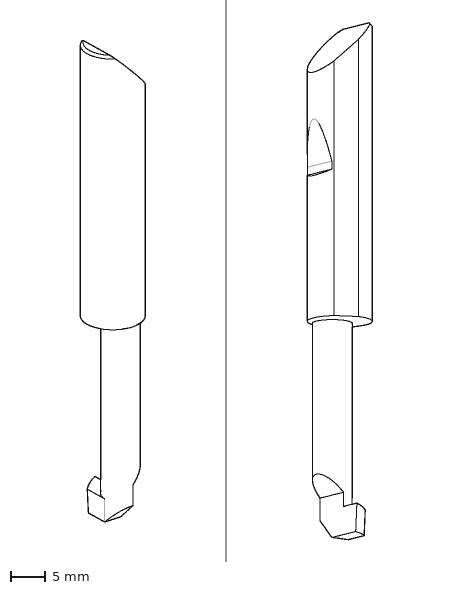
import cadquery as cq
import math

total_length = 76.2
shank_diameter = 9.525
shank_radius = shank_diameter / 2
neck_length = 31.9
shank_length = total_length - neck_length

rim_chamfer = 0.42
slant_start_y = -2.95

flat_normal_angle = 156.0
flat_arc_angle = 45.0
flat_offset = shank_radius * math.cos(math.radians(flat_arc_angle / 2))

notch_depth = 1.1
notch_low_z = 53.1
notch_root_low_z = 53.7
notch_root_high_z = 54.9
notch_high_z = 61.5

neck_radius = 2.92
neck_x = shank_radius - neck_radius
rake_face_y = 0.1
rake_runout_z = 6.3

tip_x_top = -4.38
tip_x_bottom = -4.08
relief_corner_inset = 2.0
relief_arc_radius = 8.0
head_height = 4.2
head_top_slope = 8.0

clearance = 5.0


def yz_prism(points):
    """Prism along X, wide enough to span the shank, from (y, z) points."""
    half_width = shank_radius + clearance
    return cq.Workplane("YZ").polyline(points).close().extrude(half_width, both=True)


def make_shank():
    shank = (
        cq.Workplane("XY")
        .workplane(offset=neck_length)
        .circle(shank_radius)
        .extrude(shank_length)
    )
    return shank.faces(">Z").chamfer(rim_chamfer)


def make_top_slant():
    run = shank_radius + clearance - slant_start_y
    back_y = slant_start_y + run
    return yz_prism([
        (slant_start_y, total_length),
        (back_y, total_length - run),
        (back_y, total_length),
    ])


def make_clamping_flat():
    return (
        cq.Workplane("XY")
        .box(clearance, 2 * shank_diameter, shank_length, centered=(False, True, False))
        .translate((flat_offset, 0, neck_length))
        .rotate((0, 0, 0), (0, 0, 1), flat_normal_angle)
    )


def make_notch():
    root_y = shank_radius - notch_depth
    return yz_prism([
        (shank_radius, notch_low_z),
        (root_y, notch_root_low_z),
        (root_y, notch_root_high_z),
        (shank_radius, notch_high_z),
    ])


def make_neck():
    """Round neck with its lower back half removed and its lower +X corner bevelled."""
    neck = cq.Workplane("XY").center(neck_x, 0).circle(neck_radius).extrude(neck_length)
    reach = neck_radius + clearance
    back_relief = yz_prism([
        (rake_face_y, 0),
        (rake_face_y, rake_runout_z),
        (rake_face_y + reach, rake_runout_z + reach),
        (rake_face_y + reach, 0),
    ])
    corner_bevel = (
        cq.Workplane("XZ")
        .polyline([(neck_x, 0), (neck_x + reach, reach), (neck_x + reach, 0)])
        .close()
        .extrude(shank_diameter, both=True)
    )
    return neck.cut(back_relief).cut(corner_bevel)


def head_outline(plane, tip_x):
    """Closed head section whose side relief bulges outward from the tip to the front corner."""
    front_y = -neck_radius
    corner_x = tip_x + relief_corner_inset
    return (
        plane.moveTo(neck_x, front_y)
        .lineTo(neck_x, rake_face_y)
        .lineTo(tip_x, rake_face_y)
        .radiusArc((corner_x, front_y), -relief_arc_radius)
        .close()
    )


def make_head():
    bottom = head_outline(cq.Workplane("XY"), tip_x_bottom)
    head = head_outline(bottom.workplane(offset=head_height), tip_x_top).loft(ruled=True)
    drop_depth = neck_radius + rake_face_y
    drop = drop_depth * math.tan(math.radians(head_top_slope))
    top_slope = yz_prism([
        (rake_face_y, head_height),
        (-neck_radius, head_height - drop),
        (-neck_radius, head_height),
    ])
    return head.cut(top_slope)


shank = make_shank().cut(make_top_slant()).cut(make_clamping_flat()).cut(make_notch())
result = shank.union(make_neck()).union(make_head())